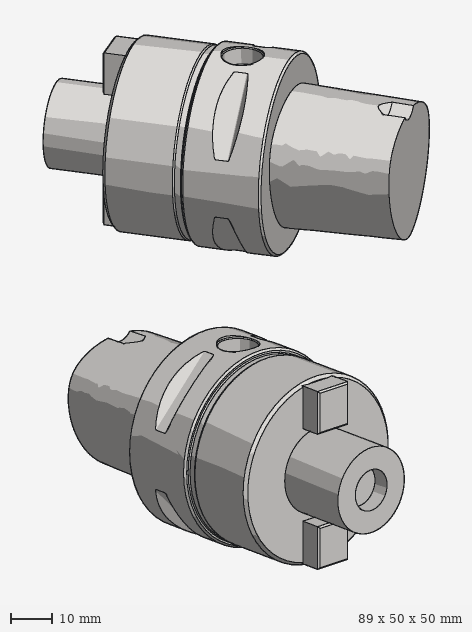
import cadquery as cq
import math

total_length = 89.0

pilot_diameter = 22.0
bore_diameter = 10.5
bore_depth = 4.3

body_start = 18.8
body_diameter = 48.0
body_chamfer = 0.8
relief_start = 36.6
relief_end = 39.0
relief_diameter = 47.5
relief_flank_length = 0.45
flange_end = 59.1
flange_diameter = 50.0
flange_chamfer = 0.5

key_width = 10.0
key_inner = 11.9
key_outer = 23.0
key_start = 13.2
key_chamfer = 0.45
key_embed = 1.3

shank_radius = 17.6
shank_end_radius = 16.8
lobe_height = 1.11
lobe_count = 3
shank_points = 48

notch_radius = 4.4
notch_axis_height = 18.0
notch_cone_base = 83.6

slot_count = 4
slot_center = 48.95
slot_floor_width = 3.5
slot_top_width = 6.9
slot_fillet = 0.5
slot_floor_radius = 22.25

pocket_center = 47.0
pocket_diameter = 10.0
pocket_rim_diameter = 10.5
pocket_rim_depth = 0.8
pocket_depth = 5.0
dimple_diameter = 4.0
dimple_depth = 1.2

body_radius = body_diameter / 2
relief_radius = relief_diameter / 2
flange_radius = flange_diameter / 2


def turned_body():
    """Pilot, body, relief groove and flange as one revolved profile."""
    pilot_radius = pilot_diameter / 2
    bore_radius = bore_diameter / 2
    profile = [
        (bore_depth, 0),
        (bore_depth, bore_radius),
        (0, bore_radius),
        (0, pilot_radius),
        (body_start, pilot_radius),
        (body_start, body_radius - body_chamfer),
        (body_start + body_chamfer, body_radius),
        (relief_start, body_radius),
        (relief_start + relief_flank_length, relief_radius),
        (relief_end - relief_flank_length, relief_radius),
        (relief_end, body_radius),
        (relief_end, flange_radius - flange_chamfer),
        (relief_end + flange_chamfer, flange_radius),
        (flange_end - flange_chamfer, flange_radius),
        (flange_end, flange_radius - flange_chamfer),
        (flange_end, 0),
    ]
    return cq.Workplane("XY").polyline(profile).close().revolve(360, (0, 0, 0), (1, 0, 0))


def lobed_outline(mean_radius):
    """Constant-width outline in (Y, Z) with one lobe pointing to -Z."""
    points = []
    for index in range(shank_points):
        angle = 2 * math.pi * index / shank_points
        support = mean_radius + lobe_height * math.cos(lobe_count * angle)
        change = -lobe_count * lobe_height * math.sin(lobe_count * angle)
        lobe_axis = support * math.cos(angle) - change * math.sin(angle)
        across = support * math.sin(angle) + change * math.cos(angle)
        points.append((across, -lobe_axis))
    return points


def shank():
    return (
        cq.Workplane("YZ", origin=(flange_end, 0, 0))
        .spline(lobed_outline(shank_radius), periodic=True)
        .close()
        .workplane(offset=total_length - flange_end)
        .spline(lobed_outline(shank_end_radius), periodic=True)
        .close()
        .loft(combine=True, ruled=True)
    )


def notch_cutter():
    profile = [
        (notch_cone_base - notch_radius, 0),
        (notch_cone_base, notch_radius),
        (total_length, notch_radius),
        (total_length, 0),
    ]
    cutter = cq.Workplane("XY").polyline(profile).close().revolve(360, (0, 0, 0), (1, 0, 0))
    return cutter.translate((0, 0, notch_axis_height))


def drive_key():
    """Upper key, with its free edges chamfered."""
    length = body_start + key_embed - key_start
    height = key_outer - key_inner
    key = cq.Workplane("XY").box(length, key_width, height, centered=(False, True, False))
    key = key.faces("<X").edges().chamfer(key_chamfer)
    return key.translate((key_start, 0, key_inner))


def slot_cutter():
    """Trapezoidal slot along Y, with rounded floor corners and its floor facing +Z."""
    half_floor = slot_floor_width / 2
    half_top = slot_top_width / 2
    profile = [
        (slot_center - half_floor, slot_floor_radius),
        (slot_center + half_floor, slot_floor_radius),
        (slot_center + half_top, flange_radius),
        (slot_center - half_top, flange_radius),
    ]
    cutter = cq.Workplane("XZ").polyline(profile).close().extrude(flange_radius, both=True)
    return cutter.faces("<Z").edges("|Y").fillet(slot_fillet)


def pocket_cutter():
    pocket_radius = pocket_diameter / 2
    rim_radius = pocket_rim_diameter / 2
    floor = flange_radius - pocket_depth
    rim_floor = flange_radius - pocket_rim_depth
    profile = [
        (0, floor - dimple_depth),
        (dimple_diameter / 2, floor),
        (pocket_radius, floor),
        (pocket_radius, rim_floor),
        (rim_radius, rim_floor + rim_radius - pocket_radius),
        (rim_radius, flange_radius),
        (0, flange_radius),
    ]
    cutter = cq.Workplane("XZ").polyline(profile).close().revolve(360, (0, 0, 0), (0, 1, 0))
    return cutter.translate((pocket_center, 0, 0))


result = turned_body().union(shank()).cut(notch_cutter())

for key_angle in (0, 180):
    result = result.union(drive_key().rotate((0, 0, 0), (1, 0, 0), key_angle))

slot_pitch = 360 / slot_count
for slot_index in range(slot_count):
    slot_angle = (slot_index + 0.5) * slot_pitch
    result = result.cut(slot_cutter().rotate((0, 0, 0), (1, 0, 0), slot_angle))

result = result.cut(pocket_cutter())